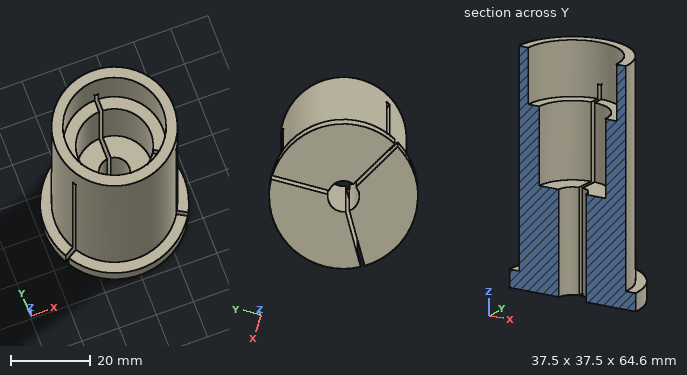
import math

import cadquery as cq

inch = 25.4

total_height = 64.6
flange_diameter = 37.5
flange_thickness = 5.0
tube_diameter = inch * 5 / 4

mouth_diameter = 26.0
mouth_depth = 15.0
chamber_diameter = 19.5
chamber_floor_depth = 36.0
base_hole_diameter = inch * 5 / 16

slot_count = 3
slot_spacing = 360 / slot_count
slot_width = 1.0
slot_top_depth = 9.0
saw_diameter = 75.0
first_slot_angle = 90.0


def cylinder(diameter, bottom, top):
    """Upright cylinder on the Z axis between two heights."""
    return cq.Workplane("XY").workplane(offset=bottom).circle(diameter / 2).extrude(top - bottom)


def flanged_body():
    flange = cylinder(flange_diameter, 0, flange_thickness)
    return flange.union(cylinder(tube_diameter, 0, total_height))


def stepped_bore():
    mouth = cylinder(mouth_diameter, total_height - mouth_depth, total_height)
    chamber = cylinder(chamber_diameter, total_height - chamber_floor_depth, total_height)
    base_hole = cylinder(base_hole_diameter, 0, total_height)
    return mouth.union(chamber).union(base_hole)


def radial_slot(angle):
    """Cutter swept by a round saw lowered beside the axis, its rim just reaching the axis."""
    saw_radius = saw_diameter / 2
    saw_rise = math.sqrt(saw_radius**2 - (saw_radius - tube_diameter / 2) ** 2)
    rim_height = total_height - slot_top_depth - saw_rise
    profile = (
        cq.Workplane("XZ")
        .moveTo(0, 0)
        .lineTo(0, rim_height)
        .radiusArc((saw_radius, rim_height + saw_radius), saw_radius)
        .lineTo(saw_radius, 0)
        .close()
    )
    slot = profile.extrude(slot_width / 2, both=True)
    return slot.rotate((0, 0, 0), (0, 0, 1), angle)


result = flanged_body().cut(stepped_bore())
for index in range(slot_count):
    result = result.cut(radial_slot(first_slot_angle + index * slot_spacing))